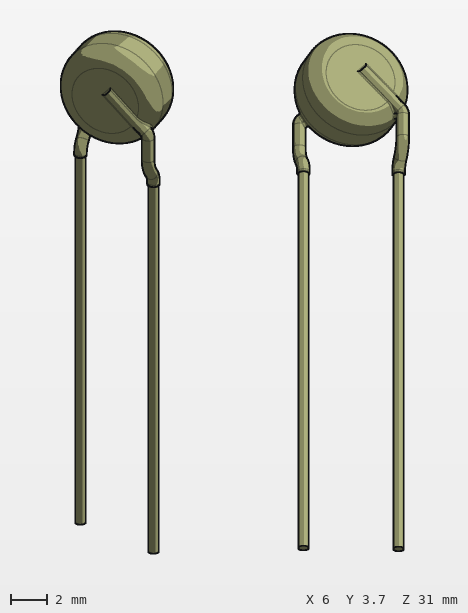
import cadquery as cq
import math

disc_diameter = 6.0
disc_thickness = 3.32
rim_fillet = 1.02

overall_height = 31.0
lead_diameter = 0.6
lead_pitch = 5.0
lead_y = 0.75
lead_x = lead_pitch / 2
lead_bottom_z = disc_diameter / 2 - overall_height

overall_depth = 3.7
sleeve_diameter = 0.7
sleeve_tip_x = 0.15
sleeve_end_z = -5.15
sleeve_y = (overall_depth - sleeve_diameter) / 2
sleeve_end_fillet = (sleeve_diameter - lead_diameter) / 2
blend_radius = 0.12
contact_tolerance = 3.1e-05

elbow_radius = 0.5
elbow_angle = 47.0
elbow_start_z = -1.85

s_bend_start_z = -3.2
s_bend_angle = 45.0
s_bend_upper_radius = 1.55
s_bend_sin = math.sin(math.radians(s_bend_angle))
s_bend_cos = math.cos(math.radians(s_bend_angle))
s_bend_lower_radius = (sleeve_y - lead_y) / (1 - s_bend_cos) - s_bend_upper_radius
s_bend_end_z = s_bend_start_z - (s_bend_upper_radius + s_bend_lower_radius) * s_bend_sin


def make_disc():
    """Round disc on the Y axis with both rims rounded over."""
    disc = (
        cq.Workplane("XZ", origin=(0, disc_thickness / 2, 0))
        .circle(disc_diameter / 2)
        .extrude(disc_thickness))
    return disc.edges().fillet(rim_fillet)


def sleeve_path():
    """Centre line of the front sleeve, from its tip on the disc face down to the lead."""
    turn = math.radians(elbow_angle)
    elbow_bottom = cq.Vector(lead_x, -sleeve_y, elbow_start_z)
    elbow_top = cq.Vector(
        lead_x - elbow_radius * (1 - math.cos(turn)), -sleeve_y,
        elbow_start_z + elbow_radius * math.sin(turn))
    tip = cq.Vector(
        sleeve_tip_x, -sleeve_y,
        elbow_top.z + (elbow_top.x - sleeve_tip_x) / math.tan(turn))
    tip_slope = elbow_top - tip

    down = cq.Vector(0, 0, -1)
    s_start = cq.Vector(lead_x, -sleeve_y, s_bend_start_z)
    s_middle = cq.Vector(
        lead_x, -sleeve_y + s_bend_upper_radius * (1 - s_bend_cos),
        s_bend_start_z - s_bend_upper_radius * s_bend_sin)
    s_end = cq.Vector(lead_x, -lead_y, s_bend_end_z)
    sleeve_end = cq.Vector(lead_x, -lead_y, sleeve_end_z)
    s_slope = cq.Vector(0, s_bend_sin, -s_bend_cos)

    return cq.Wire.assembleEdges([
        cq.Edge.makeLine(tip, elbow_top),
        cq.Edge.makeTangentArc(elbow_top, tip_slope, elbow_bottom),
        cq.Edge.makeLine(elbow_bottom, s_start),
        cq.Edge.makeTangentArc(s_start, down, s_middle),
        cq.Edge.makeTangentArc(s_middle, s_slope, s_end),
        cq.Edge.makeLine(s_end, sleeve_end),
    ])


def make_sleeve():
    """Front sleeve, rounded at its lower end down to the lead diameter."""
    path = sleeve_path()
    profile = cq.Workplane(cq.Plane(path.startPoint(), (0, 1, 0), path.tangentAt(0)))
    sleeve = profile.circle(sleeve_diameter / 2).sweep(cq.Workplane(path))
    return sleeve.faces("<Z").edges().fillet(sleeve_end_fillet)


def make_lead():
    """Front lead, a straight pin that starts at the lower end of its sleeve."""
    return (
        cq.Workplane("XY", origin=(lead_x, -lead_y, lead_bottom_z))
        .circle(lead_diameter / 2)
        .extrude(sleeve_end_z - lead_bottom_z))


def blend_sleeve(disc, sleeve):
    """Join a sleeve to the disc and round the inside corner where they meet."""
    joined = disc.union(sleeve)

    def on_both(edge):
        middle = cq.Vertex.makeVertex(*edge.positionAt(0.5).toTuple())
        return max(disc.val().distance(middle), sleeve.val().distance(middle)) < contact_tolerance

    junction = [edge for edge in joined.edges().vals() if on_both(edge)]
    return joined.newObject(junction).fillet(blend_radius)


coating = make_disc()
leads = []
for angle in (0, 180):
    sleeve = make_sleeve().rotate((0, 0, 0), (0, 0, 1), angle)
    coating = blend_sleeve(coating, sleeve)
    leads.append(make_lead().rotate((0, 0, 0), (0, 0, 1), angle).val())

result = cq.Compound.makeCompound([coating.solids().val(), *leads])